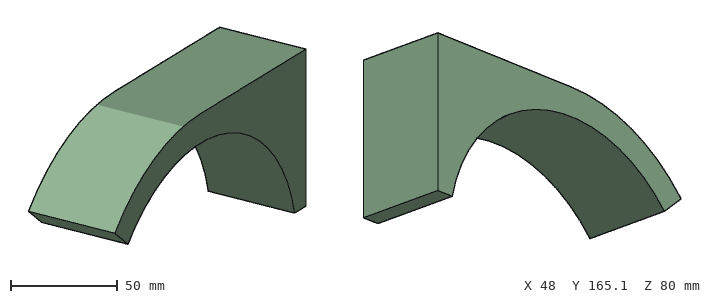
import cadquery as cq
import math

length = 165.1
width = 48.0
height = 80.0
flat_length = 90.8
arm_thickness = 15.0
inner_radius = 82.9
tip_straight = 1.0

outer_radius = inner_radius + arm_thickness
center_z = height - outer_radius

tip_reach = math.hypot(outer_radius, tip_straight)
tip_angle = math.asin((length - flat_length) / tip_reach)
arc_end_angle = tip_angle - math.atan(tip_straight / outer_radius)
foot_angle = -math.acos(-center_z / inner_radius)


def arc_point(radius, angle):
    """Point (Y, Z) at a radius and angle about the arch centre; Y = 0 at the crown."""
    return (-radius * math.sin(angle), center_z + radius * math.cos(angle))


result = (
    cq.Workplane("YZ")
    .moveTo(flat_length, 0)
    .lineTo(flat_length, height)
    .lineTo(0, height)
    .threePointArc(arc_point(outer_radius, arc_end_angle / 2), arc_point(outer_radius, arc_end_angle))
    .lineTo(*arc_point(tip_reach, tip_angle))
    .lineTo(*arc_point(inner_radius, tip_angle))
    .threePointArc(arc_point(inner_radius, 0), arc_point(inner_radius, foot_angle))
    .close()
    .extrude(width / 2, both=True)
)